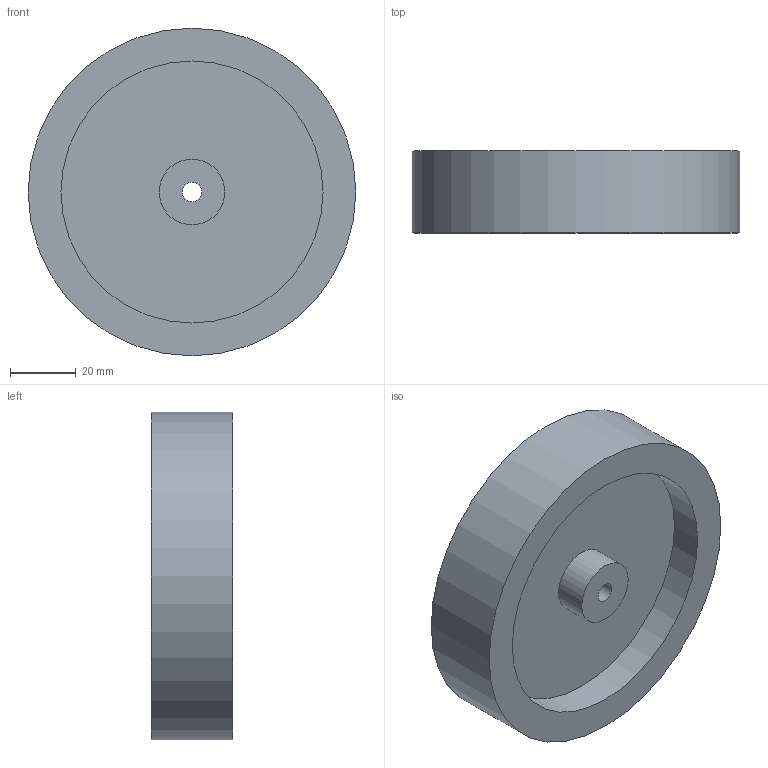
import cadquery as cq

wheel_diameter = 100.0
wheel_width = 25.0
recess_diameter = 80.0
recess_depth = 10.0
hub_diameter = 20.0
bore_diameter = 6.0

front_y = -wheel_width / 2


def cylinder_along_y(diameter, length):
    """Cylinder about the Y axis, running from the front face toward +Y."""
    profile = cq.Workplane("XZ", origin=(0, front_y, 0)).circle(diameter / 2)
    return profile.extrude(-length)


def make_recess():
    """Ring-shaped recess that leaves the hub flush with the rim."""
    pocket = cylinder_along_y(recess_diameter, recess_depth)
    hub = cylinder_along_y(hub_diameter, recess_depth)
    return pocket.cut(hub)


wheel = cylinder_along_y(wheel_diameter, wheel_width)
bore = cylinder_along_y(bore_diameter, wheel_width)

result = wheel.cut(make_recess()).cut(bore)